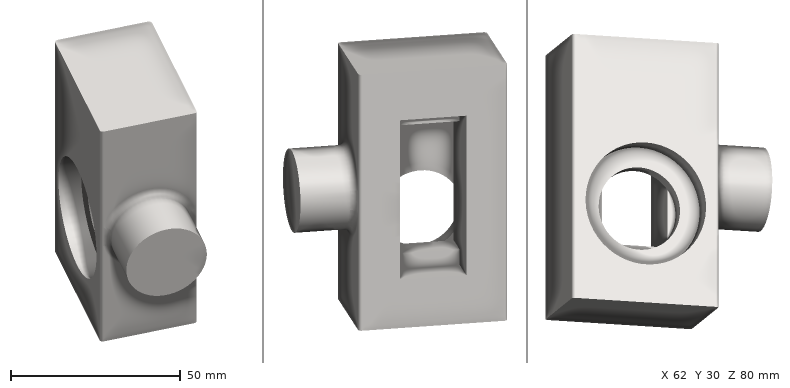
import cadquery as cq

total_length = 62.0
body_width = 45.0
body_depth = 30.0
body_height = 80.0
edge_radius = 1.0

stub_diameter = 25.0
stub_root_radius = 2.0

bore_height = 30.0
counterbore_diameter = 37.0
counterbore_depth = 7.0
bore_diameter = stub_diameter
bore_depth = 5.0

window_width = 20.0
window_floor = 19.9

rear_opening_depth = 9.4
rear_opening_floor = 15.0

body_center_x = body_width / 2
body_center_y = body_depth / 2
body_center_z = body_height / 2


def make_body():
    block = cq.Workplane("XY").box(body_width, body_depth, body_height, centered=False)
    return block.edges("|Z").fillet(edge_radius)


def add_stub(body):
    """Join the stub to the +X face and blend its root into the body."""
    stub_axis = cq.Vector(body_center_x, body_center_y, body_center_z)
    stub = cq.Solid.makeCylinder(
        stub_diameter / 2, total_length - body_center_x, stub_axis, cq.Vector(1, 0, 0)
    )
    root_point = (body_width, body_center_y, body_center_z + stub_diameter / 2)
    root_edge = cq.selectors.NearestToPointSelector(root_point)
    return body.union(cq.Workplane(stub)).edges("%CIRCLE").edges(root_edge).fillet(stub_root_radius)


def bore_cutter(diameter, depth):
    """Cylinder reaching inward from the -Y face."""
    axis_start = cq.Vector(body_center_x, 0, bore_height)
    return cq.Workplane(cq.Solid.makeCylinder(diameter / 2, depth, axis_start, cq.Vector(0, 1, 0)))


def window_cutter(floor_height, start, end):
    """Box spanning start to end along Y, centred on the body in X and Z."""
    height = 2 * (body_center_z - floor_height)
    return (
        cq.Workplane("XY", origin=(body_center_x, start, body_center_z))
        .box(window_width, end - start, height, centered=(True, False, True))
    )


bore_end = counterbore_depth + bore_depth
window_end = body_depth - rear_opening_depth

result = (
    add_stub(make_body())
    .cut(bore_cutter(counterbore_diameter, counterbore_depth))
    .cut(bore_cutter(bore_diameter, bore_end))
    .cut(window_cutter(window_floor, bore_end, window_end))
    .cut(window_cutter(rear_opening_floor, window_end, body_depth))
)